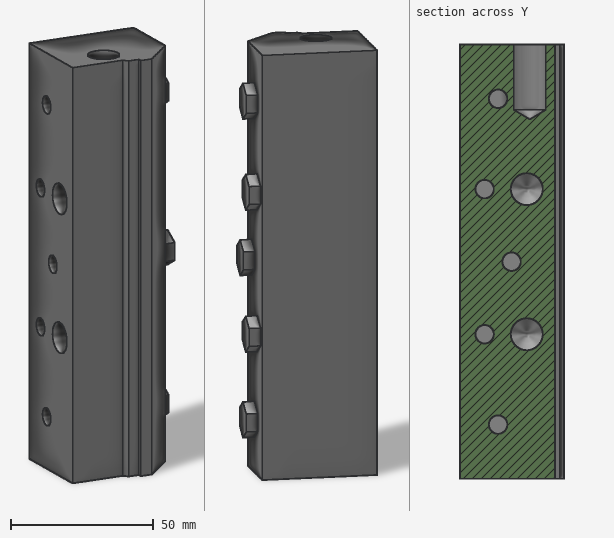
import cadquery as cq
import math

length = 152.4
width = 36.5
depth = 41.1
base_width = 33.4
bevel_x = 12.2
bevel_y = 11.6
lip_bottom = 25.3
lip_step = 1.5
undercut_top = 21.2
undercut_bottom = 19.8

bolt_diameter = 6.4
head_flats = 11.1
head_height = 4.1
bolt_spacing_x = 4.7
middle_bolt_x = 18.1
inner_bolt_z = 25.5
outer_bolt_z = 57.2

port_diameter = 11.1
port_depth = 22.9
drill_point_angle = 118.0
front_port_x = 23.5
end_port_x = 24.5
end_port_y = 16.8

middle_z = length / 2
outer_bolt_x = middle_bolt_x - bolt_spacing_x
inner_bolt_x = outer_bolt_x - bolt_spacing_x
bolt_places = [(middle_bolt_x, middle_z)]
for side in (-1, 1):
    bolt_places.append((inner_bolt_x, middle_z + side * inner_bolt_z))
    bolt_places.append((outer_bolt_x, middle_z + side * outer_bolt_z))


def make_body():
    profile = [
        (0, 0),
        (base_width, 0),
        (base_width, undercut_bottom),
        (width - lip_step, undercut_top),
        (width - lip_step, lip_bottom),
        (width, lip_bottom),
        (width, depth - bevel_y),
        (width - bevel_x, depth),
        (0, depth),
    ]
    return cq.Workplane("XY").polyline(profile).close().extrude(length)


def make_hex_head(x, z):
    """Hex head on the back face, with two flats facing along X."""
    corner_diameter = head_flats / math.cos(math.radians(30))
    return (
        cq.Workplane("XZ", origin=(x, depth, z))
        .transformed(rotate=(0, 0, 90))
        .polygon(6, corner_diameter)
        .extrude(-head_height)
    )


def make_bolt_hole(x, z):
    """Hole through the body, closed by the underside of the head."""
    return cq.Workplane("XZ", origin=(x, 0, z)).circle(bolt_diameter / 2).extrude(-depth)


def make_port(mouth, direction):
    """Drilled port starting at its mouth and running along the given direction."""
    radius = port_diameter / 2
    point_length = radius / math.tan(math.radians(drill_point_angle / 2))
    start = cq.Vector(*mouth)
    axis = cq.Vector(*direction)
    bore = cq.Solid.makeCylinder(radius, port_depth, start, axis)
    point = cq.Solid.makeCone(radius, 0, point_length, start + axis * port_depth, axis)
    return bore.fuse(point)


result = make_body()
for x, z in bolt_places:
    result = result.union(make_hex_head(x, z))
    result = result.cut(make_bolt_hole(x, z))
for side in (-1, 1):
    result = result.cut(make_port((front_port_x, 0, middle_z + side * inner_bolt_z), (0, 1, 0)))
result = result.cut(make_port((end_port_x, end_port_y, length), (0, 0, -1)))